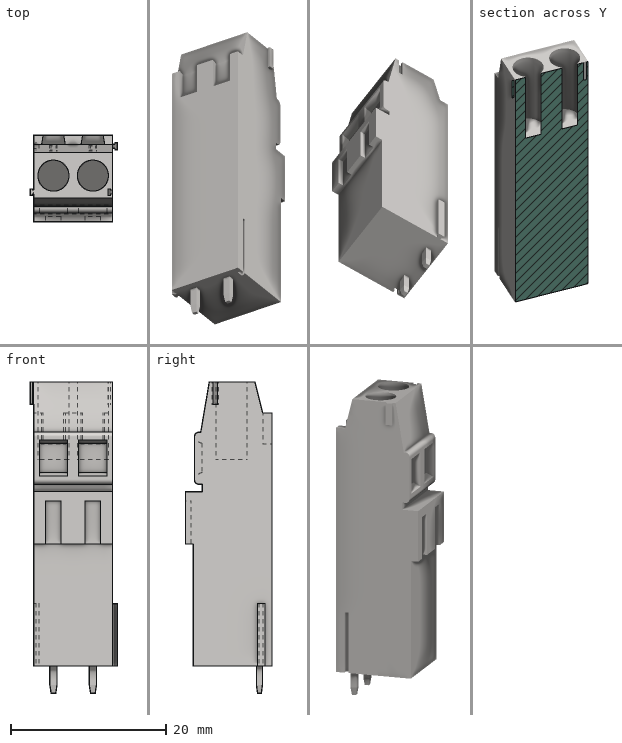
import cadquery as cq


pole_count = 2
pitch = 5.08
pole_centers = [pitch * (pole + 0.5) for pole in range(pole_count)]

housing_width = pole_count * pitch
housing_height = 36.6
body_front_y = -10.16
top_back_y = -2.2
top_front_y = -8.1
shelf_z = 32.6
shelf_front_y = -1.2
slope_foot_y = -9.2
brow_front_y = -10.0
brow_top_z = 30.12
brow_bottom_z = 23.4
brow_radius = 0.58
neck_y = -9.0
ledge_front_y = -11.16
ledge_top_z = 22.45
ledge_bottom_z = 15.7

window_width = 3.65
window_bottom_z = 24.5
window_top_z = 29.1
window_depth = 1.0
window_slope_rise = 0.45

ledge_slot_width = 1.98
ledge_slot_top_z = 21.25
ledge_slot_depth = 0.7

screw_hole_diameter = 4.0
screw_hole_depth = 10.0
screw_hole_y = -5.2

dovetail_back_width = 2.65
dovetail_front_width = 3.05
dovetail_pocket_depth = 4.0

upper_rail_y = -7.32
upper_rail_height = 2.9
upper_head_width = 0.85
upper_neck_width = 0.55
upper_neck_length = 0.14
upper_rail_reach = 0.45
upper_groove_neck = 0.27
upper_groove_reach = 0.6

lower_rail_y = -1.42
lower_rail_height = 8.05
lower_head_width = 0.95
lower_neck_width = 0.55
lower_neck_length = 0.3
lower_rail_reach = 0.6
lower_groove_reach = 0.65

pin_width = 0.95
pin_thickness = 0.8
pin_y = -1.63
pin_length = 3.5
pin_taper_length = 1.05
pin_tip_ratio = 0.65


def make_housing_block():
    profile = [
        (0, 0),
        (0, shelf_z),
        (shelf_front_y, shelf_z),
        (top_back_y, housing_height),
        (top_front_y, housing_height),
        (slope_foot_y, brow_top_z),
        (brow_front_y, brow_top_z),
        (brow_front_y, brow_bottom_z),
        (neck_y, brow_bottom_z),
        (neck_y, ledge_top_z),
        (ledge_front_y, ledge_top_z),
        (ledge_front_y, ledge_bottom_z),
        (body_front_y, ledge_bottom_z),
        (body_front_y, 0),
    ]
    block = cq.Workplane("YZ").polyline(profile).close().extrude(housing_width)
    margin = 0.1
    brow_edges = cq.selectors.BoxSelector(
        (-margin, brow_front_y - margin, brow_bottom_z - margin),
        (housing_width + margin, brow_front_y + margin, brow_top_z + margin),
    )
    return block.edges("|X").edges(brow_edges).fillet(brow_radius)


def make_window(center_x):
    back_y = brow_front_y + window_depth
    profile = [
        (brow_front_y, window_bottom_z),
        (back_y, window_bottom_z + window_slope_rise),
        (back_y, window_top_z - window_slope_rise),
        (brow_front_y, window_top_z),
    ]
    start_x = center_x - window_width / 2
    return cq.Workplane("YZ", origin=(start_x, 0, 0)).polyline(profile).close().extrude(window_width)


def make_ledge_slot(center_x):
    height = ledge_slot_top_z - ledge_bottom_z
    return (
        cq.Workplane("XY", origin=(center_x, ledge_front_y, ledge_bottom_z))
        .box(ledge_slot_width, ledge_slot_depth, height, centered=(True, False, False))
    )


def make_screw_hole(center_x):
    return (
        cq.Workplane("XY", origin=(center_x, screw_hole_y, housing_height))
        .circle(screw_hole_diameter / 2)
        .extrude(-screw_hole_depth)
    )


def make_dovetail_pocket(center_x):
    outline = [
        (-dovetail_back_width / 2, 0),
        (dovetail_back_width / 2, 0),
        (dovetail_front_width / 2, shelf_front_y),
        (-dovetail_front_width / 2, shelf_front_y),
    ]
    return (
        cq.Workplane("XY", origin=(center_x, 0, shelf_z))
        .polyline(outline)
        .close()
        .extrude(-dovetail_pocket_depth)
    )


def make_tee(wall_x, direction, center_y, base_z, neck, reach, neck_width, head_width, height):
    """T-section bar that starts at wall_x and grows along X in the given direction (+1 or -1)."""
    outline = [
        (0, -neck_width / 2),
        (neck, -neck_width / 2),
        (neck, -head_width / 2),
        (reach, -head_width / 2),
        (reach, head_width / 2),
        (neck, head_width / 2),
        (neck, neck_width / 2),
        (0, neck_width / 2),
    ]
    return (
        cq.Workplane("XY", origin=(wall_x, center_y, base_z))
        .polyline([(direction * x, y) for x, y in outline])
        .close()
        .extrude(height)
    )


def make_upper_tee(wall_x, neck, reach):
    base_z = housing_height - upper_rail_height
    return make_tee(wall_x, -1, upper_rail_y, base_z, neck, reach,
                    upper_neck_width, upper_head_width, upper_rail_height)


def make_lower_tee(wall_x, reach):
    return make_tee(wall_x, 1, lower_rail_y, 0, lower_neck_length, reach,
                    lower_neck_width, lower_head_width, lower_rail_height)


def make_housing():
    body = make_housing_block()
    for center_x in pole_centers:
        body = body.cut(make_window(center_x))
        body = body.cut(make_ledge_slot(center_x))
        body = body.cut(make_screw_hole(center_x))
        body = body.cut(make_dovetail_pocket(center_x))
    body = body.cut(make_upper_tee(housing_width, upper_groove_neck, upper_groove_reach))
    body = body.cut(make_lower_tee(0, lower_groove_reach))
    body = body.union(make_upper_tee(0, upper_neck_length, upper_rail_reach))
    return body.union(make_lower_tee(housing_width, lower_rail_reach))


def make_pin(center_x):
    """Rectangular pin hanging from the housing underside, with a tapered tip."""
    shank_length = pin_length - pin_taper_length
    shank = (
        cq.Workplane("XY", origin=(center_x, pin_y, 0))
        .rect(pin_width, pin_thickness)
        .extrude(-shank_length)
    )
    tip = (
        cq.Workplane("XY", origin=(center_x, pin_y, -shank_length))
        .rect(pin_width, pin_thickness)
        .workplane(offset=-pin_taper_length)
        .rect(pin_width * pin_tip_ratio, pin_thickness * pin_tip_ratio)
        .loft(ruled=True)
    )
    return shank.union(tip)


housing = make_housing()
pins = [make_pin(center_x) for center_x in pole_centers]

result = cq.Compound.makeCompound([housing.val(), *[pin.val() for pin in pins]])